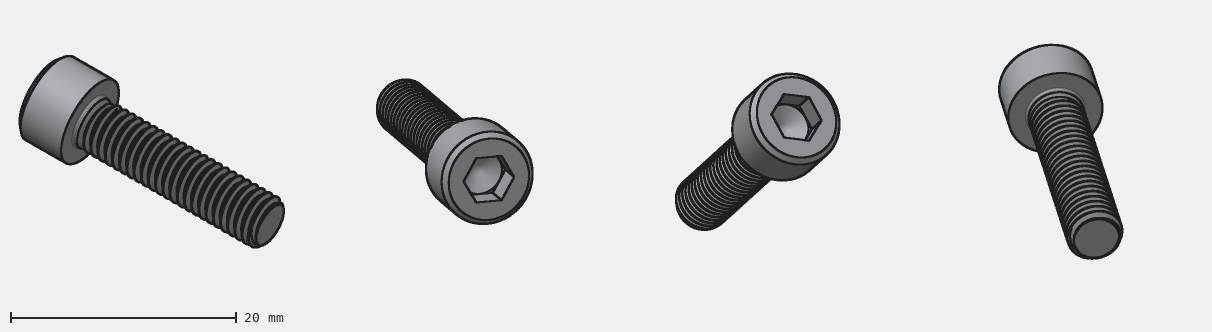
import cadquery as cq
import math


head_diameter = 8.5
head_height = 5.0
head_chamfer = 0.5

socket_across_flats = 4.08
socket_depth = 2.5
drill_point_angle = math.radians(120)

thread_diameter = 5.0
thread_pitch = 0.8
shank_length = 20.0
flank_half_angle = math.radians(30)
thread_depth = 0.6134 * thread_pitch
crest_width = thread_pitch / 8
first_crest_x = 1.79
tip_chamfer = 0.45

neck_fillet = 0.2
neck_end = 0.44
taper_end = 0.8
thread_start = 0.84

crest_clearance = 0.2
ridge_overlap = 0.05
lead_in_turns = 2
run_out_turns = 1

major_radius = thread_diameter / 2
minor_radius = major_radius - thread_depth
flank_slope = math.tan(flank_half_angle)


def revolve_about_x(profile):
    return profile.close().revolve(360, (0, 0, 0), (1, 0, 0))


def make_head():
    head = cq.Workplane("YZ").circle(head_diameter / 2).extrude(-head_height)
    return head.faces("<X").chamfer(head_chamfer)


def make_socket():
    """Hexagon with flats facing +Z and -Z, ending in a cone as wide as the flats."""
    across_corners = socket_across_flats / math.cos(math.pi / 6)
    hexagon = (
        cq.Workplane("YZ", origin=(-head_height, 0, 0))
        .polygon(6, across_corners)
        .extrude(socket_depth)
    )
    floor_x = socket_depth - head_height
    cone_radius = socket_across_flats / 2
    cone_depth = cone_radius / math.tan(drill_point_angle / 2)
    drill_point = revolve_about_x(
        cq.Workplane("XY")
        .moveTo(floor_x, 0)
        .lineTo(floor_x, cone_radius)
        .lineTo(floor_x + cone_depth, 0)
    )
    return hexagon.union(drill_point)


def make_neck():
    """Neck with a fillet under the head and a taper down to the thread core."""
    return revolve_about_x(
        cq.Workplane("XY")
        .lineTo(0, major_radius + neck_fillet)
        .radiusArc((neck_fillet, major_radius), -neck_fillet)
        .lineTo(neck_end, major_radius)
        .lineTo(taper_end, minor_radius)
        .lineTo(taper_end, 0)
    )


def make_thread_envelope():
    """Limits of the thread: a lead-in flank at the neck and a chamfer at the tip.

    Its outer cylinder clears the thread crests.
    """
    outer_radius = major_radius + crest_clearance
    flank_rise = outer_radius - minor_radius
    tip_radius = major_radius - tip_chamfer
    return revolve_about_x(
        cq.Workplane("XY")
        .moveTo(thread_start, 0)
        .lineTo(thread_start, minor_radius)
        .lineTo(thread_start + flank_rise * flank_slope, outer_radius)
        .lineTo(shank_length - (outer_radius - tip_radius), outer_radius)
        .lineTo(shank_length, tip_radius)
        .lineTo(shank_length, 0)
    )


def make_thread_ridge():
    """Right-hand trapezoidal ridge that runs past both ends of the thread."""
    start_x = first_crest_x - lead_in_turns * thread_pitch
    turns_to_tip = math.ceil((shank_length - start_x) / thread_pitch)
    ridge_length = (turns_to_tip + run_out_turns) * thread_pitch

    base_radius = minor_radius - ridge_overlap
    half_crest = crest_width / 2
    half_base = half_crest + (major_radius - base_radius) * flank_slope
    section_corners = [
        (-half_base, base_radius),
        (-half_crest, major_radius),
        (half_crest, major_radius),
        (half_base, base_radius),
    ]

    helices = []
    for offset, radius in section_corners:
        helix_start = cq.Vector(start_x + offset, 0, 0)
        helix = cq.Wire.makeHelix(thread_pitch, ridge_length, radius, helix_start, cq.Vector(1, 0, 0))
        helices.append(helix)

    faces = []
    for index, helix in enumerate(helices):
        faces += cq.Face.makeRuledSurface(helices[index - 1], helix).Faces()
    start_points = [helix.startPoint() for helix in helices]
    end_points = [helix.endPoint() for helix in helices]
    for points in (start_points, end_points):
        faces.append(cq.Face.makeFromWires(cq.Wire.makePolygon(points, close=True)))
    return cq.Workplane(cq.Solid.makeSolid(cq.Shell.makeShell(faces)))


def make_threaded_shank():
    core = cq.Workplane("YZ").circle(minor_radius).extrude(shank_length)
    ridge = make_thread_ridge().intersect(make_thread_envelope())
    return core.union(ridge)


socketed_head = make_head().union(make_neck()).cut(make_socket())
screw = socketed_head.union(make_threaded_shank())
result = cq.Workplane(screw.solids().val())